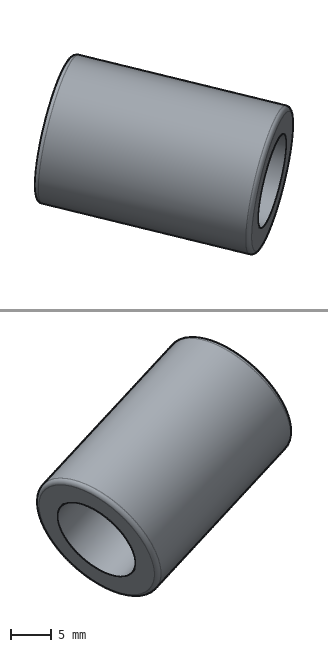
import cadquery as cq

length = 28.0
outer_diameter = 19.0
bore_diameter = 12.0
edge_radius = 0.6

sleeve = (
    cq.Workplane("YZ")
    .circle(outer_diameter / 2)
    .circle(bore_diameter / 2)
    .extrude(length)
)

outer_rims = cq.selectors.RadiusNthSelector(-1)
result = sleeve.faces("<X or >X").edges(outer_rims).fillet(edge_radius)